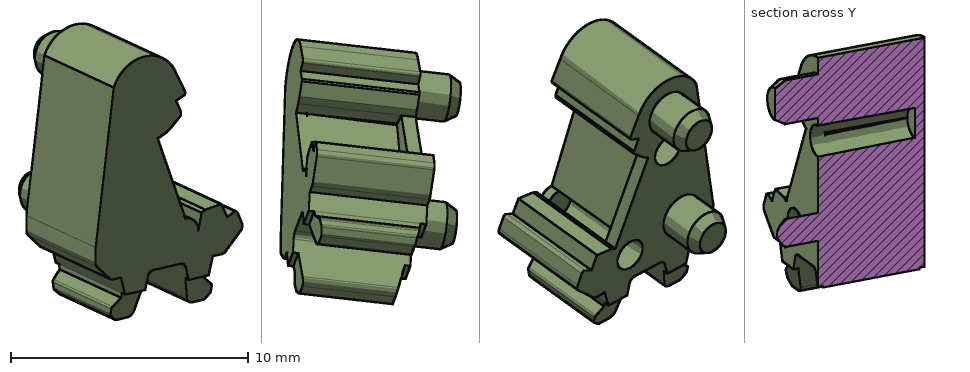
import cadquery as cq
import math

width = 5.06
pin_length = 2.02
base_z = 2.07
back_corner_z = 2.86
back_slope_z = 3.67

head_y, head_z = 2.55, 9.93
head_radius = 1.75
head_back_y = 0.93
head_front_y = 4.16
head_back = (head_back_y, head_z + math.sqrt(head_radius**2 - (head_y - head_back_y) ** 2))
head_front = (head_front_y, head_z + math.sqrt(head_radius**2 - (head_front_y - head_y) ** 2))
head_top = (head_y, head_z + head_radius)

wall_foot = (5.47, 4.12)
wall_top = (3.65, 8.06)

lower_pin = (1.78, 4.0)
pin_radius = 1.0
pin_tip_radius = 0.72
pin_taper_length = 0.48
upper_bore = (head_y, 7.88)
lower_bore = (4.64, 3.36)
bore_mouth_radius = 0.7
bore_inner_radius = 0.67
end_wall = 0.62
pocket_end_angle = 12.0
pocket_reach = 2.34
far_wall = 0.48

legs_mid_y = 3.68
leg_root_y = 2.76
foot_z = 1.26
foot_inset_top = 0.23
foot_inset_bottom = 0.53
leg_root_fillet = 0.29
leg_toe_fillet = 0.35
corner_fillet = 0.28
small_fillet = 0.14


def profile():
    """Empty sketch whose local x and y are the part's Y and Z."""
    return cq.Workplane("YZ")


def cylinder(center, radius, length):
    return profile().center(*center).circle(radius).extrude(length)


def round_edges(solid, points, radius):
    """Fillet the edges along X that pass through the given (y, z) corners."""
    reach = 0.01
    for y, z in points:
        box = cq.selectors.BoxSelector(
            (-reach, y - reach, z - reach), (width + reach, y + reach, z + reach)
        )
        solid = solid.edges("|X").edges(box).fillet(radius)
    return solid


def make_body():
    back_corner = (0, back_corner_z)
    back_base = (0.78, base_z)
    front_base = (6.62, base_z)
    jaw_front = (7.64, 3.06)
    jaw_top = (7.26, 3.89)
    beak_tip = (4.68, 9.58)
    body = (
        profile()
        .moveTo(*head_back)
        .lineTo(0, back_slope_z)
        .lineTo(*back_corner)
        .lineTo(*back_base)
        .lineTo(*front_base)
        .lineTo(*jaw_front)
        .lineTo(*jaw_top)
        .lineTo(6.8, 3.65)
        .lineTo(6.48, 4.31)
        .lineTo(5.66, 4.22)
        .lineTo(*wall_foot)
        .lineTo(*wall_top)
        .lineTo(3.91, 8.25)
        .lineTo(4.42, 8.69)
        .lineTo(4.42, 8.82)
        .lineTo(4.16, 9.38)
        .lineTo(*beak_tip)
        .lineTo(*head_front)
        .threePointArc(head_top, head_back)
        .close()
        .extrude(width)
    )
    body = round_edges(body, [back_corner, back_base, front_base, jaw_front], corner_fillet)
    return round_edges(body, [jaw_top, beak_tip], small_fillet)


def make_leg():
    """Back leg, overlapping the body so that the two fuse."""
    toe = (2.25, 0)
    hook_corners = [(1.09, 0.65), (1.09, 0.29), (1.39, 0)]
    hook_top, hook_bottom, sole = hook_corners
    leg = (
        profile()
        .moveTo(1.31, base_z)
        .lineTo(1.52, foot_z)
        .lineTo(1.52, 1.04)
        .lineTo(*hook_top)
        .lineTo(*hook_bottom)
        .lineTo(*sole)
        .lineTo(*toe)
        .lineTo(leg_root_y, base_z)
        .close()
        .extrude(width)
    )
    leg = round_edges(leg, [toe], leg_toe_fillet)
    leg = round_edges(leg, hook_corners, small_fillet)

    foot_envelope = (
        cq.Workplane("XZ")
        .moveTo(0, base_z)
        .lineTo(0, foot_z)
        .lineTo(foot_inset_top, foot_z)
        .lineTo(foot_inset_bottom, 0)
        .lineTo(width - foot_inset_bottom, 0)
        .lineTo(width - foot_inset_top, foot_z)
        .lineTo(width, foot_z)
        .lineTo(width, base_z)
        .close()
        .extrude(-legs_mid_y)
    )
    return leg.intersect(foot_envelope)


def make_pin(center):
    pin = cylinder(center, pin_radius, -pin_length)
    return pin.faces("<X").chamfer(pin_taper_length, pin_radius - pin_tip_radius)


def make_bore(center):
    """Blind bore narrowing slightly towards its floor."""
    return (
        profile()
        .center(*center)
        .circle(bore_mouth_radius)
        .workplane(offset=width - far_wall)
        .circle(bore_inner_radius)
        .loft()
    )


def make_pocket():
    """Recess in the sloping wall, open at the far X end and running over both bores.

    Its closed end leans away from the x = 0 face as it goes deeper.
    """
    bore_y, bore_z = lower_bore
    diagonal = bore_inner_radius / math.sqrt(2)
    bore_side = (bore_y + bore_inner_radius, bore_z)
    bore_shoulder = (bore_y + diagonal, bore_z + diagonal)
    bore_top = (bore_y, bore_z + bore_inner_radius)
    upper_side = (upper_bore[0] + bore_inner_radius, upper_bore[1])
    pocket = (
        profile()
        .workplane(offset=end_wall)
        .moveTo(*wall_foot)
        .lineTo(*bore_side)
        .threePointArc(bore_shoulder, bore_top)
        .lineTo(*upper_side)
        .lineTo(*wall_top)
        .close()
        .extrude(width - end_wall)
    )

    rise_y = wall_top[0] - wall_foot[0]
    rise_z = wall_top[1] - wall_foot[1]
    wall_length = math.hypot(rise_y, rise_z)
    lean = pocket_reach * math.tan(math.radians(pocket_end_angle))
    wall_plane = cq.Plane((end_wall, *wall_foot), (1, 0, 0), (0, rise_y, rise_z))
    wedge = (
        cq.Workplane(wall_plane)
        .workplane(offset=-pocket_reach)
        .moveTo(0, 0)
        .lineTo(0, -pocket_reach)
        .lineTo(lean, -pocket_reach)
        .close()
        .extrude(wall_length + 2 * pocket_reach)
    )
    return pocket.cut(wedge)


back_leg = make_leg()
front_leg = back_leg.mirror("XZ").translate((0, 2 * legs_mid_y, 0))
result = make_body().union(back_leg).union(front_leg)
leg_roots = [(leg_root_y, base_z), (2 * legs_mid_y - leg_root_y, base_z)]
result = round_edges(result, leg_roots, leg_root_fillet)

for pin_center in ((head_y, head_z), lower_pin):
    result = result.union(make_pin(pin_center))

result = result.cut(make_pocket())
for bore_center in (upper_bore, lower_bore):
    result = result.cut(make_bore(bore_center))